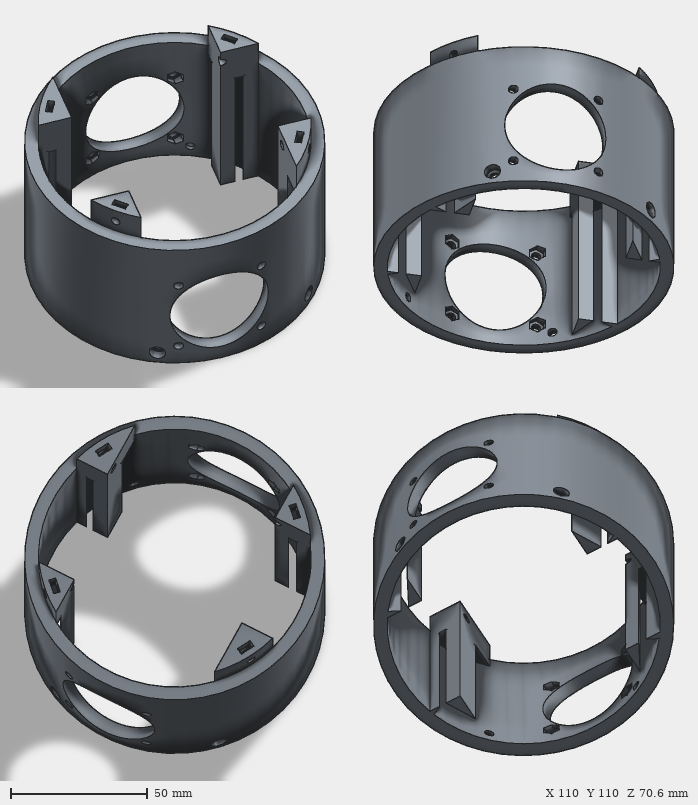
import cadquery as cq
import math

ring_diameter = 110.0
bore_diameter = 100.0
ring_height = 60.0
ring_radius = ring_diameter / 2
bore_radius = bore_diameter / 2
wall = ring_radius - bore_radius

tab_height = 10.6
post_top = ring_height + tab_height
wide_corner = (14.0, 35.2)
narrow_corner = (27.8, -27.0)
wide_screw_angle = 62.0
narrow_screw_angle = -44.0

recess_angle = 62.0
recess_top = 55.0
recess_length = 30.8
wide_recess_distance = 42.9
narrow_recess_distance = 41.8
wide_recess_end = 8.2
narrow_recess_end = -7.8

screw_diameter = 3.4
screw_head_diameter = 5.9
screw_head_depth = 3.5
nut_across_flats = 5.5
nut_thickness = 2.5
nut_corner_diameter = nut_across_flats / math.cos(math.pi / 6)
tab_screw_drop = 5.5
tab_screw_z = post_top - tab_screw_drop
tab_nut_distance = 46.3
base_screw_z = 5.1
base_screw_angles = (-25.0, 45.0, 155.0, 225.0)

fan_diameter = 38.0
fan_z = 25.1
fan_screw_spacing = 32.0
fan_nut_floor = 49.7
fan_cut_start = 40.7


def radial_plane(angle, distance, z):
    """Plane facing outward at an angle around the ring axis; local x is sideways, local y is up."""
    outward = cq.Vector(math.cos(math.radians(angle)), math.sin(math.radians(angle)), 0)
    sideways = cq.Vector(0, 0, 1).cross(outward)
    origin = outward * distance + cq.Vector(0, 0, z)
    return cq.Plane(origin=origin, xDir=sideways, normal=outward)


def make_nut(plane, depth):
    """Hexagonal prism along the plane normal, with two corners pointing up and down."""
    return (
        cq.Workplane(plane)
        .transformed(rotate=(0, 0, 90))
        .polygon(6, nut_corner_diameter)
        .extrude(depth)
    )


def make_post_body(corner):
    """Full-height post outward of its corner, ending in the wall below and at the bore radius above."""
    x, y = corner
    far_y = math.copysign(ring_radius, y)
    block = (
        cq.Workplane("XY")
        .moveTo(x, y)
        .lineTo(ring_radius, y)
        .lineTo(ring_radius, far_y)
        .lineTo(x, far_y)
        .close()
        .extrude(post_top)
    )
    in_ring = cq.Workplane("XY").circle(bore_radius + wall / 2).extrude(ring_height)
    in_tab = cq.Workplane("XY").circle(bore_radius).extrude(post_top)
    return block.intersect(in_ring.union(in_tab))


def make_recess(y_side, distance, end):
    """Upright block between the lower part of a post and the bore."""
    middle = y_side * (end - recess_length / 2)
    return (
        cq.Workplane(radial_plane(y_side * recess_angle, distance, recess_top / 2))
        .center(middle, 0)
        .rect(recess_length, recess_top)
        .extrude(ring_radius)
    )


def make_tab_screw(angle):
    """Radial screw hole through a tab, crossed by a nut slot open at the top."""
    hole = (
        cq.Workplane(radial_plane(angle, 0, tab_screw_z))
        .circle(screw_diameter / 2)
        .extrude(ring_radius)
    )
    nut_plane = radial_plane(angle, tab_nut_distance - nut_thickness / 2, tab_screw_z)
    slot = (
        cq.Workplane(nut_plane)
        .center(0, tab_screw_drop / 2)
        .rect(nut_across_flats, tab_screw_drop)
        .extrude(nut_thickness)
    )
    return hole.union(make_nut(nut_plane, nut_thickness)).union(slot)


def make_post(corner, screw_angle, recess_distance, recess_end):
    """Post with its recess, screw hole and nut slot."""
    y_side = math.copysign(1, corner[1])
    post = make_post_body(corner)
    post = post.cut(make_recess(y_side, recess_distance, recess_end))
    return post.cut(make_tab_screw(screw_angle))


def make_base_screw(angle):
    """Screw hole through the wall with a head recess from outside."""
    hole = (
        cq.Workplane(radial_plane(angle, bore_radius - wall, base_screw_z))
        .circle(screw_diameter / 2)
        .extrude(3 * wall)
    )
    head = (
        cq.Workplane(radial_plane(angle, ring_radius - screw_head_depth, base_screw_z))
        .circle(screw_head_diameter / 2)
        .extrude(screw_head_depth + wall)
    )
    return hole.union(head)


def make_fan_opening(angle):
    """Air opening, four screw holes and their nut seats sunk in from the bore."""
    plane = radial_plane(angle, fan_cut_start, fan_z)
    opening = cq.Workplane(plane).circle(fan_diameter / 2).extrude(ring_radius)
    screws = (
        cq.Workplane(plane)
        .rect(fan_screw_spacing, fan_screw_spacing, forConstruction=True)
        .vertices()
        .circle(screw_diameter / 2)
        .extrude(ring_radius)
    )
    opening = opening.union(screws)
    offset = fan_screw_spacing / 2
    for sideways in (-offset, offset):
        for up in (-offset, offset):
            nut_plane = cq.Plane(
                origin=plane.toWorldCoords((sideways, up, 0)), xDir=plane.xDir, normal=plane.zDir
            )
            opening = opening.union(make_nut(nut_plane, fan_nut_floor - fan_cut_start))
    return opening


result = cq.Workplane("XY").circle(ring_radius).circle(bore_radius).extrude(ring_height)

wide_post = make_post(wide_corner, wide_screw_angle, wide_recess_distance, wide_recess_end)
narrow_post = make_post(narrow_corner, narrow_screw_angle, narrow_recess_distance, narrow_recess_end)
for post in (wide_post, narrow_post):
    for turn in (0, 180):
        result = result.union(post.rotate((0, 0, 0), (0, 0, 1), turn))

for screw_angle in base_screw_angles:
    result = result.cut(make_base_screw(screw_angle))

for fan_angle in (0, 180):
    result = result.cut(make_fan_opening(fan_angle))